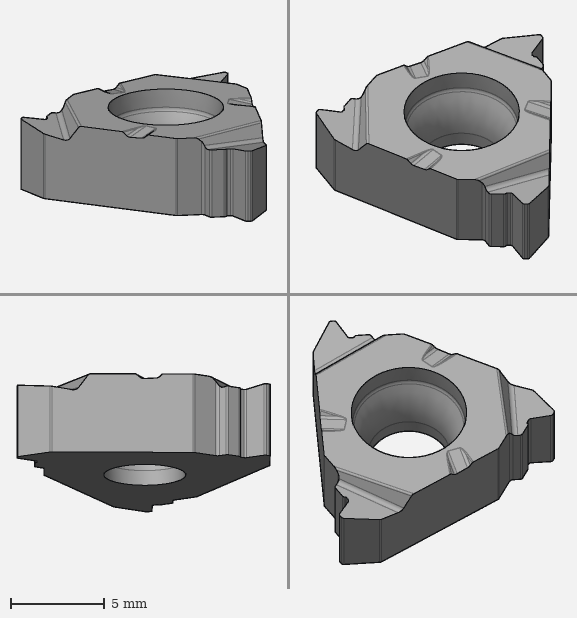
import cadquery as cq
import math

TOOTH_COUNT = 3
TOOTH_ANGLES = [tooth * 360 / TOOTH_COUNT for tooth in range(TOOTH_COUNT)]
HEIGHT = 4.35
TIP_REACH = 6.89

TOOTH_LINES = [
    (180, 4.76, 0.2),
    (150, 6.67, 0.15),
    (90, TIP_REACH, 0.15),
    (30, 0.49, 0.14),
    (90, 5.82, 0.07),
    (150, 5.08, 0.16),
    (90, 5.94, 0.15),
    (30, 1.57, 0.22),
    (90, 5.41, 0.2),
]

BORE_RADIUS = 4.4 / 2
BORE_HEIGHT = 0.81
FLARE_RADIUS = 4.0
FLARE_TOP_RADIUS = 2.94
POCKET_TOP_RADIUS = 3.09
POCKET_FOOT_RADIUS = 3.02
POCKET_DEPTH = 1.0

RAKE_ANGLE = 10
RAKE_TOP = 3.97
GROOVE_HEADING = 28.7
GROOVE_CORNER = 5.56
GROOVE_WALL_ANGLE = 58
GROOVE_FOOT_RADIUS = 0.33
GROOVE_BRINK_RADIUS = 0.16
GROOVE_HALF_LENGTH = 9.49
GROOVE_CLEARANCE = 2.71
GROOVE_WIDTH = 3.39

SLOT_HEADING = 165
SLOT_START = (-3.46, -0.55)
SLOT_RAMP_ANGLE = 10.3
SLOT_FLOOR_WIDTH = 0.85
SLOT_WALL_ANGLE = 42
SLOT_CORNER_RADIUS = 0.27
SLOT_BRINK_RADIUS = 0.11
SLOT_LENGTH = 2.17
SLOT_CLEARANCE = 0.54


def heading(angle):
    """Unit vector in plan at the given angle in degrees."""
    return cq.Vector(math.cos(math.radians(angle)), math.sin(math.radians(angle)), 0)


def crossing(line, other):
    """Point where two lines given by normal angle and distance meet."""
    normal = heading(line[0])
    other_normal = heading(other[0])
    sine = normal.cross(other_normal).z
    x = (line[1] * other_normal.y - other[1] * normal.y) / sine
    y = (normal.x * other[1] - other_normal.x * line[1]) / sine
    return cq.Vector(x, y, 0)


def rounded_body():
    """Prism of the insert outline with every corner rounded."""
    lines = [
        (angle - turn, distance, radius)
        for turn in TOOTH_ANGLES
        for angle, distance, radius in TOOTH_LINES
    ]
    count = len(lines)
    corners = [crossing(lines[i], lines[(i + 1) % count]) for i in range(count)]
    arcs = []
    for i, corner in enumerate(corners):
        radius = lines[i][2]
        back = (corners[i - 1] - corner).normalized()
        ahead = (corners[(i + 1) % count] - corner).normalized()
        half_angle = back.getAngle(ahead) / 2
        setback = radius / math.tan(half_angle)
        sagitta = radius / math.sin(half_angle) - radius
        middle = corner + (back + ahead).normalized() * sagitta
        arcs.append((corner + back * setback, middle, corner + ahead * setback))
    outline = cq.Workplane("XY").moveTo(*arcs[-1][2].toTuple()[:2])
    for start, middle, end in arcs:
        outline = outline.lineTo(start.x, start.y)
        outline = outline.threePointArc((middle.x, middle.y), (end.x, end.y))
    return outline.close().extrude(HEIGHT)


def screw_hole():
    """Bore, convex flare and slightly tapered head pocket, as one turned cutter."""

    def flare_point(angle):
        return (
            BORE_RADIUS + FLARE_RADIUS * (1 - math.cos(angle)),
            BORE_HEIGHT + FLARE_RADIUS * math.sin(angle),
        )

    flare_angle = math.acos(1 - (FLARE_TOP_RADIUS - BORE_RADIUS) / FLARE_RADIUS)
    return (
        cq.Workplane("XZ")
        .moveTo(0, HEIGHT)
        .lineTo(POCKET_TOP_RADIUS, HEIGHT)
        .lineTo(POCKET_FOOT_RADIUS, HEIGHT - POCKET_DEPTH)
        .tangentArcPoint(flare_point(flare_angle), relative=False)
        .threePointArc(flare_point(flare_angle / 2), (BORE_RADIUS, BORE_HEIGHT))
        .lineTo(BORE_RADIUS, 0)
        .lineTo(0, 0)
        .close()
        .revolve(360, (0, 0, 0), (0, 1, 0))
    )


def rake_height(y):
    """Height of the rake face at the given distance towards the crest."""
    return RAKE_TOP - math.tan(math.radians(RAKE_ANGLE)) * (TIP_REACH - y)


def chip_groove():
    """Cutter leaving the inclined rake face, the groove wall and the rounded foot between them."""
    rake = math.tan(math.radians(RAKE_ANGLE))
    along = heading(GROOVE_HEADING)
    across = heading(GROOVE_HEADING + 90)
    corner = across * GROOVE_CORNER
    corner.z = rake_height(corner.y)
    run = cq.Vector(along.x, along.y, rake * along.y)
    tilt = math.atan(rake * along.y)
    section = cq.Plane(origin=corner.toTuple(), xDir=across.toTuple(), normal=run.toTuple())
    floor_rise = GROOVE_WIDTH * rake * across.y * math.cos(tilt)
    wall_run = GROOVE_CLEARANCE / math.tan(math.radians(GROOVE_WALL_ANGLE))
    cutter = (
        cq.Workplane(section)
        .polyline([
            (0, 0),
            (GROOVE_WIDTH, floor_rise),
            (GROOVE_WIDTH, GROOVE_CLEARANCE),
            (-wall_run, GROOVE_CLEARANCE),
        ])
        .close()
        .extrude(GROOVE_HALF_LENGTH, both=True)
    )
    foot = cq.selectors.NearestToPointSelector(corner.toTuple())
    return cutter.edges(foot).fillet(GROOVE_FOOT_RADIUS)


def marking_slot():
    """Ramped trapezoidal cutter, running out of the long side."""
    outward = heading(SLOT_HEADING)
    ramp = math.radians(SLOT_RAMP_ANGLE)
    run = outward * math.cos(ramp) - cq.Vector(0, 0, math.sin(ramp))
    sideways = heading(SLOT_HEADING + 90)
    start = (*SLOT_START, HEIGHT)
    section = cq.Plane(origin=start, xDir=sideways.toTuple(), normal=run.toTuple())
    half_floor = SLOT_FLOOR_WIDTH / 2
    half_top = half_floor + SLOT_CLEARANCE / math.tan(math.radians(SLOT_WALL_ANGLE))
    cutter = (
        cq.Workplane(section)
        .polyline([
            (-half_floor, 0),
            (half_floor, 0),
            (half_top, SLOT_CLEARANCE),
            (-half_top, SLOT_CLEARANCE),
        ])
        .close()
        .extrude(SLOT_LENGTH)
    )
    floor_edges = cutter.faces(cq.selectors.DirectionMinMaxSelector(section.yDir, False))
    floor_edges = floor_edges.edges(cq.selectors.ParallelDirSelector(run))
    return floor_edges.fillet(SLOT_CORNER_RADIUS)


def brink_edge(angle):
    """Selector of the top edge of the groove wall on the tooth turned by the given angle."""
    across = heading(GROOVE_HEADING + 90)
    depth = HEIGHT - rake_height(across.y * GROOVE_CORNER)
    setback = depth / math.tan(math.radians(GROOVE_WALL_ANGLE))
    point = heading(GROOVE_HEADING + 90 + angle) * (GROOVE_CORNER - setback)
    return cq.selectors.NearestToPointSelector((point.x, point.y, HEIGHT))


def slot_end_edge(angle):
    """Selector of the inner end of the turned slot, tangent to the rest of the slot's rim."""
    start = cq.Vector(*SLOT_START, HEIGHT)
    turned = cq.Plane(origin=(0, 0, 0), xDir=heading(angle).toTuple()).toWorldCoords(start)
    return cq.selectors.NearestToPointSelector(turned.toTuple())


result = rounded_body()
groove = chip_groove()
for angle in TOOTH_ANGLES:
    result = result.cut(groove.rotate((0, 0, 0), (0, 0, 1), angle))
for angle in TOOTH_ANGLES:
    result = result.edges(brink_edge(angle)).fillet(GROOVE_BRINK_RADIUS)

result = result.cut(screw_hole())
slot = marking_slot()
for angle in TOOTH_ANGLES:
    result = result.cut(slot.rotate((0, 0, 0), (0, 0, 1), angle))
for angle in TOOTH_ANGLES:
    result = result.edges(slot_end_edge(angle)).fillet(SLOT_BRINK_RADIUS)